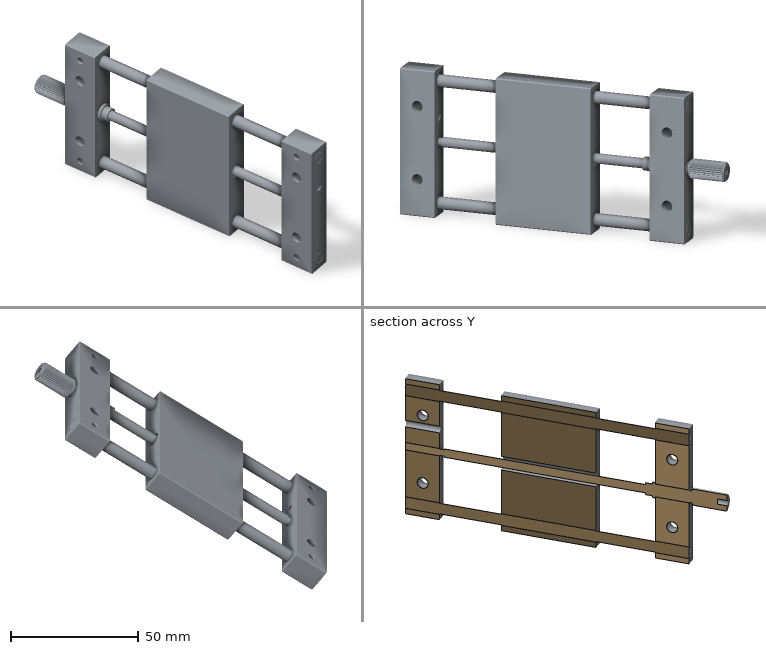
import cadquery as cq
import math

total_length = 135.5
height = 60.0
thickness = 10.0
edge_chamfer = 0.4

block_width = 14.5
left_block_x = 16.0
left_block_end_x = left_block_x + block_width
right_block_x = total_length - block_width
carriage_x = 55.1
carriage_width = 40.0
carriage_offset_y = 0.4

rod_diameter = 5.0
rod_spacing = 50.0
rod_chamfer = 0.3
rod_heights = [-rod_spacing / 2, rod_spacing / 2]

mount_hole_diameter = 4.5
mount_hole_spacing = 30.0
set_hole_diameter = 2.5
set_hole_mouth = 3.0
set_hole_depth = 2.0
side_hole_diameter = 3.0
side_hole_z = 10.0

screw_diameter = 4.0
screw_clearance_diameter = 6.0
pivot_diameter = 3.3
pivot_x = 119.2
journal_diameter = 5.5
flange_diameter = 7.0
flange_thickness = 1.2
shoulder_diameter = 6.0
shoulder_thickness = 0.4
journal_length = 4.0
knob_diameter = 8.0
knob_core_diameter = 7.0
knob_length = 15.0
knob_hole_diameter = 2.5
knob_hole_depth = 4.0
tooth_count = 30
tooth_end_gap = 0.5


def bar(start_x, width, center_y=0.0):
    """Rectangular bar standing along Z with its edges parallel to X chamfered."""
    return (
        cq.Workplane("XY")
        .box(width, thickness, height)
        .edges("|X")
        .chamfer(edge_chamfer)
        .translate((start_x + width / 2, center_y, 0))
    )


def x_cylinder(diameter, start_x, end_x, z=0.0):
    """Cylinder along X between two stations."""
    return (
        cq.Workplane("YZ", origin=(start_x, 0, z))
        .circle(diameter / 2)
        .extrude(end_x - start_x)
    )


def cut_rod_bores(body):
    for z in rod_heights:
        body = body.cut(x_cylinder(rod_diameter, 0, total_length, z))
    return body


def cut_mount_holes(block, center_x):
    for z in (-mount_hole_spacing / 2, mount_hole_spacing / 2):
        hole = (
            cq.Workplane("XZ", origin=(center_x, thickness / 2, z))
            .circle(mount_hole_diameter / 2)
            .extrude(thickness)
        )
        block = block.cut(hole)
    return block


def cut_set_screw_holes(block, center_x):
    """Blind holes in the front face, in line with the rods, with a chamfered mouth."""
    mouth_depth = (set_hole_mouth - set_hole_diameter) / 2
    for z in rod_heights:
        hole = (
            cq.Workplane("XZ", origin=(center_x, -thickness / 2 + set_hole_depth, z))
            .circle(set_hole_diameter / 2)
            .extrude(set_hole_depth)
        )
        mouth = (
            cq.Workplane("XZ", origin=(center_x, -thickness / 2, z))
            .circle(set_hole_mouth / 2)
            .extrude(-mouth_depth, taper=45)
        )
        block = block.cut(hole).cut(mouth)
    return block


def make_end_block(start_x):
    """The features that both end blocks share."""
    center_x = start_x + block_width / 2
    block = bar(start_x, block_width)
    block = cut_rod_bores(block)
    block = cut_mount_holes(block, center_x)
    return cut_set_screw_holes(block, center_x)


def make_left_block():
    bore = x_cylinder(journal_diameter, left_block_x, left_block_end_x)
    return make_end_block(left_block_x).cut(bore)


def make_right_block():
    block = make_end_block(right_block_x)
    block = block.cut(x_cylinder(pivot_diameter, right_block_x, total_length))
    return block.cut(x_cylinder(side_hole_diameter, right_block_x, total_length, side_hole_z))


def make_carriage():
    carriage = cut_rod_bores(bar(carriage_x, carriage_width, carriage_offset_y))
    return carriage.cut(x_cylinder(screw_clearance_diameter, 0, total_length))


def make_rod(z):
    """Guide rod with chamfered ends, flush with the outer faces of both blocks."""
    return x_cylinder(rod_diameter, left_block_x, total_length, z).faces("<X or >X").chamfer(rod_chamfer)


def tooth_points():
    """Star outline of the grip, with crests and roots taking turns around the axis."""
    points = []
    for index in range(2 * tooth_count):
        radius = (knob_diameter if index % 2 == 0 else knob_core_diameter) / 2
        angle = math.pi * index / tooth_count
        points.append((radius * math.cos(angle), radius * math.sin(angle)))
    return points


def make_knob():
    """Round core with a band of V-shaped grip teeth and a blind hole in its free face."""
    core = x_cylinder(knob_core_diameter, 0, knob_length)
    grip = (
        cq.Workplane("YZ", origin=(tooth_end_gap, 0, 0))
        .polyline(tooth_points())
        .close()
        .extrude(knob_length - 2 * tooth_end_gap)
    )
    return core.union(grip).cut(x_cylinder(knob_hole_diameter, 0, knob_hole_depth))


def make_lead_screw():
    """Lead screw in one piece with its knob, journal and flange."""
    journal_end_x = left_block_end_x + journal_length
    return (
        make_knob()
        .union(x_cylinder(journal_diameter, knob_length, journal_end_x))
        .union(x_cylinder(shoulder_diameter, left_block_x - shoulder_thickness, left_block_x))
        .union(x_cylinder(flange_diameter, left_block_end_x, left_block_end_x + flange_thickness))
        .union(x_cylinder(screw_diameter, journal_end_x, pivot_x))
        .union(x_cylinder(pivot_diameter, pivot_x, total_length))
    )


left_block = make_left_block()
right_block = make_right_block()
carriage = make_carriage()
rods = [make_rod(z) for z in rod_heights]
lead_screw = make_lead_screw()

result = cq.Compound.makeCompound(
    [left_block.val(), right_block.val(), carriage.val(), lead_screw.val(), *[rod.val() for rod in rods]]
)